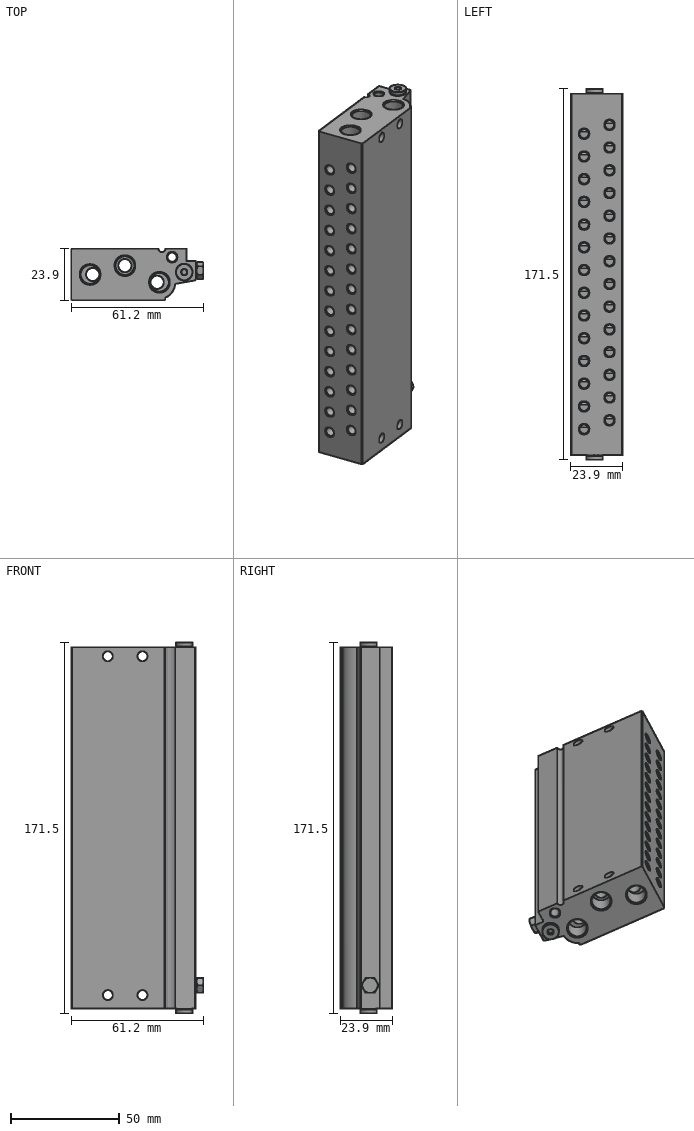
import cadquery as cq
import math

BLOCK_LENGTH = 167.0
BLOCK_DEPTH = 23.9
BLOCK_RIGHT = 53.4
CORNER_BEVEL = 0.5
FOOT_WIDTH = 43.6
FOOT_LIP = 1.2

ARC_START = (44.3, 1.5)
ARC_END = (48.2, 7.5)
ARC_BULGE = 0.85

RAIL_RIGHT = 57.7
RAIL_TOP = 18.25
RAIL_SLOPE = 10.0

GROOVE_X = 42.0
GROOVE_RADIUS = 1.6

PORT_BORE = 8.57
PORT_MOUTH = 9.73
PORT_DEPTH = 10.0
CHANNEL_DIAMETER = 6.0
MAIN_PORTS = [(8.8, 10.0, 11.9), (24.9, 24.9, 16.0), (40.85, 39.8, 8.3)]

THREAD_BORE = 4.13
THREAD_MOUTH = 5.0
PILOT_CENTRE = (46.7, 19.9)

OUTLET_COUNT = 14
OUTLET_PITCH = 10.5
OUTLET_DEPTH = 6.0
OUTLET_ROWS = [(6.05, 16.1), (17.8, 12.0)]
RAMP_OFFSET = 0.8
RAMP_ANGLE = 45.0

MOUNT_DIAMETER = 4.5
MOUNT_XS = (17.0, 33.0)
MOUNT_ZS = (6.25, 162.8)

PLUG_DIAMETER = 7.8
PLUG_HEIGHT = 2.25
PLUG_TOP_BEVEL = 0.15
PLUG_NECK_DIAMETER = 7.2
PLUG_NECK_HEIGHT = 0.5
PLUG_CENTRE = (52.3, 13.0)
SOCKET_MOUTH = 3.0
SOCKET_FLATS = 2.5
SOCKET_DEPTH = 1.5

SCREW_FLATS = 7.0
SCREW_HEIGHT = 3.5
SCREW_CHAMFER = 0.5
COLLAR_HEIGHT = 0.4
SCREW_CENTRE = (13.7, 10.75)


def hex_corners(flats):
    """Corner-to-corner size of a hexagon with the given width across flats."""
    return flats / math.cos(math.pi / 6)


def block_profile():
    """Closed outline of the block, seen along Z."""
    chord_x = ARC_END[0] - ARC_START[0]
    chord_y = ARC_END[1] - ARC_START[1]
    chord = math.hypot(chord_x, chord_y)
    arc_middle = (
        (ARC_START[0] + ARC_END[0]) / 2 + ARC_BULGE * chord_y / chord,
        (ARC_START[1] + ARC_END[1]) / 2 - ARC_BULGE * chord_x / chord,
    )
    rail_slope = math.tan(math.radians(RAIL_SLOPE))
    rail_bevel_x = RAIL_RIGHT - CORNER_BEVEL
    rail_bevel_y = ARC_END[1] + (rail_bevel_x - ARC_END[0]) * rail_slope
    return (
        cq.Workplane("XY")
        .moveTo(CORNER_BEVEL, 0)
        .lineTo(FOOT_WIDTH - CORNER_BEVEL, 0)
        .lineTo(FOOT_WIDTH, CORNER_BEVEL)
        .lineTo(FOOT_WIDTH, FOOT_LIP)
        .lineTo(*ARC_START)
        .threePointArc(arc_middle, ARC_END)
        .lineTo(rail_bevel_x, rail_bevel_y)
        .lineTo(RAIL_RIGHT, rail_bevel_y + CORNER_BEVEL)
        .lineTo(RAIL_RIGHT, RAIL_TOP)
        .lineTo(BLOCK_RIGHT, RAIL_TOP)
        .lineTo(BLOCK_RIGHT, BLOCK_DEPTH)
        .lineTo(GROOVE_X + GROOVE_RADIUS, BLOCK_DEPTH)
        .threePointArc(
            (GROOVE_X, BLOCK_DEPTH - GROOVE_RADIUS),
            (GROOVE_X - GROOVE_RADIUS, BLOCK_DEPTH),
        )
        .lineTo(CORNER_BEVEL, BLOCK_DEPTH)
        .lineTo(0, BLOCK_DEPTH - CORNER_BEVEL)
        .lineTo(0, CORNER_BEVEL)
        .close()
    )


def countersunk_bore(bore, mouth, depth):
    """Cutting tool along +Z from the origin: a bore with a 45 degree countersink at its mouth."""
    bevel = (mouth - bore) / 2
    return (
        cq.Workplane("XZ")
        .polyline([(0, 0), (mouth / 2, 0), (bore / 2, bevel), (bore / 2, depth), (0, depth)])
        .close()
        .revolve(360, (0, 0), (0, 1))
    )


def end_cutters(bore, mouth, depth, x, y):
    """The same countersunk bore cut from both end faces."""
    lower = countersunk_bore(bore, mouth, depth).translate((x, y, 0))
    upper = lower.mirror("XY", (0, 0, BLOCK_LENGTH / 2))
    return lower, upper


def outlet_cutter():
    """Countersunk port along +X with a ramp rising from the upper part of its floor."""
    port = countersunk_bore(THREAD_BORE, THREAD_MOUTH, OUTLET_DEPTH)
    port = port.rotate((0, 0, 0), (0, 1, 0), 90)
    rise = THREAD_BORE / 2 - RAMP_OFFSET
    run = rise / math.tan(math.radians(RAMP_ANGLE))
    reach = cq.Workplane("YZ").circle(THREAD_BORE / 2).extrude(OUTLET_DEPTH + run)
    ramp = (
        cq.Workplane("XZ")
        .polyline([
            (OUTLET_DEPTH, RAMP_OFFSET),
            (OUTLET_DEPTH + run, RAMP_OFFSET + rise),
            (OUTLET_DEPTH, RAMP_OFFSET + rise),
        ])
        .close()
        .extrude(THREAD_BORE / 2, both=True)
        .intersect(reach)
    )
    return port.union(ramp)


def make_block():
    """Block with its main ports, pilot bore, outlet ports and mounting holes."""
    block = block_profile().extrude(BLOCK_LENGTH)

    for port_x, channel_x, y in MAIN_PORTS:
        for cutter in end_cutters(PORT_BORE, PORT_MOUTH, PORT_DEPTH, port_x, y):
            block = block.cut(cutter)
        channel = cq.Workplane("XY").center(channel_x, y).circle(CHANNEL_DIAMETER / 2)
        block = block.cut(channel.extrude(BLOCK_LENGTH))

    for cutter in end_cutters(THREAD_BORE, THREAD_MOUTH, BLOCK_LENGTH / 2, *PILOT_CENTRE):
        block = block.cut(cutter)

    outlet = outlet_cutter()
    for y, lowest_z in OUTLET_ROWS:
        for index in range(OUTLET_COUNT):
            block = block.cut(outlet.translate((0, y, lowest_z + index * OUTLET_PITCH)))

    mounts = (
        cq.Workplane("XZ")
        .pushPoints([(x, z) for x in MOUNT_XS for z in MOUNT_ZS])
        .circle(MOUNT_DIAMETER / 2)
        .extrude(-BLOCK_DEPTH)
    )
    return block.cut(mounts)


def make_plug():
    """Round head on a short neck standing on Z = 0, with a countersunk hexagonal socket on top."""
    plug = (
        cq.Workplane("XY")
        .circle(PLUG_NECK_DIAMETER / 2)
        .extrude(PLUG_NECK_HEIGHT)
        .faces(">Z")
        .workplane()
        .circle(PLUG_DIAMETER / 2)
        .extrude(PLUG_HEIGHT - PLUG_NECK_HEIGHT)
        .faces(">Z")
        .chamfer(PLUG_TOP_BEVEL)
        .faces(">Z")
        .workplane()
        .polygon(6, hex_corners(SOCKET_FLATS))
        .cutBlind(-SOCKET_DEPTH)
    )
    mouth = countersunk_bore(SOCKET_FLATS, SOCKET_MOUTH, SOCKET_DEPTH)
    return plug.cut(mouth.mirror("XY").translate((0, 0, PLUG_HEIGHT)))


def make_screw():
    """Hexagonal head along +X on a round collar, corners along Y, both rims of the hexagon turned down."""
    corners = hex_corners(SCREW_FLATS)
    head_height = SCREW_HEIGHT - COLLAR_HEIGHT
    hexagon = cq.Workplane("YZ").polygon(6, corners).extrude(head_height)
    turned = cq.Workplane("YZ").circle(corners / 2).extrude(head_height)
    turned = turned.edges("%CIRCLE").chamfer(SCREW_CHAMFER)
    head = hexagon.intersect(turned).translate((COLLAR_HEIGHT, 0, 0))
    collar = cq.Workplane("YZ").circle(SCREW_FLATS / 2).extrude(COLLAR_HEIGHT)
    return head.union(collar).translate((RAIL_RIGHT, *SCREW_CENTRE))


block = make_block()

upper_plug = make_plug().translate((*PLUG_CENTRE, BLOCK_LENGTH))
plugs = [upper_plug, upper_plug.mirror("XY", (0, 0, BLOCK_LENGTH / 2))]

screw = make_screw()

result = cq.Compound.makeCompound([block.val(), *[plug.val() for plug in plugs], screw.val()])